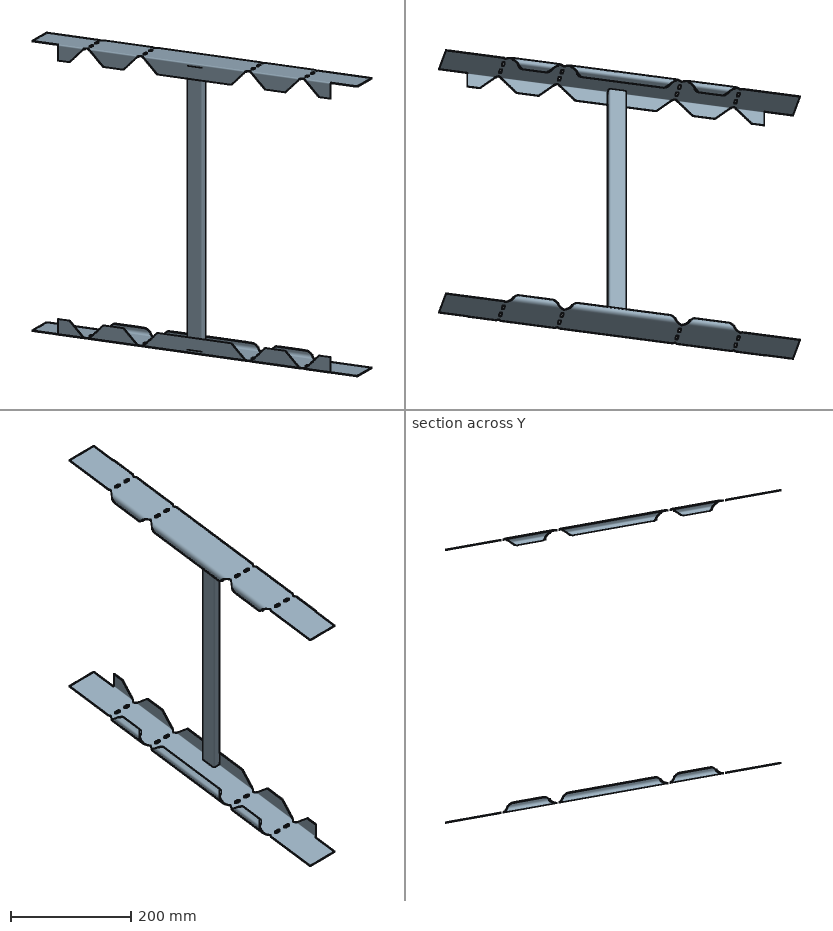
import cadquery as cq
import math

rail_length = 604.0
depth = 64.0
height = 504.5
front_y = -depth / 2
back_y = depth / 2
rail_top = height / 2

sheet = 1.5
flange_length = 507.0
flange_depth = 28.0
flange_bend = 2.5
lip_bend = 7.0
curl_bend = 5.0
lip_wall = 2.5
curl_angle = 70.0
curl_straight = 8.5

flat_front = front_y + flange_bend
flat_back = back_y - lip_bend
flat_middle = (flat_front + flat_back) / 2

notch_pitch = 100.0
notch_places = [-2 * notch_pitch, -notch_pitch, notch_pitch, 2 * notch_pitch]
notch_inset = 2.1
slot_length = 10.0
slot_width = 4.0
slot_spacing = 20.5
lip_length = 4 * notch_pitch

post_width = 30.0
post_depth = 15.0
post_corner = 3.5
post_end_gap = 5.75
post_length = height - 2 * post_end_gap
post_middle_y = front_y + sheet + post_depth / 2

cut_margin = 6.0


def polar(centre, radius, degrees):
    """Point on a circle in the YZ plane, angle measured from +Y towards +Z."""
    angle = math.radians(degrees)
    return (centre[0] + radius * math.cos(angle), centre[1] + radius * math.sin(angle))


def extrude_along_x(profile, length):
    """Extrude a closed YZ profile by length, centred on X = 0."""
    return profile.close().extrude(length / 2, both=True)


def make_flat():
    width = flat_back - flat_front
    return cq.Workplane("XY").box(rail_length, width, sheet).translate((0, flat_middle, rail_top - sheet / 2))


def make_flange():
    centre = (flat_front, rail_top - flange_bend)
    inner = flange_bend - sheet
    tip_z = rail_top - flange_depth
    profile = (
        cq.Workplane("YZ")
        .moveTo(front_y, tip_z)
        .lineTo(*polar(centre, flange_bend, 180))
        .threePointArc(polar(centre, flange_bend, 135), polar(centre, flange_bend, 90))
        .lineTo(*polar(centre, inner, 90))
        .threePointArc(polar(centre, inner, 135), polar(centre, inner, 180))
        .lineTo(front_y + sheet, tip_z)
    )
    return extrude_along_x(profile, flange_length)


lip_centre = (flat_back, rail_top - lip_bend)
curl_centre = (back_y - curl_bend, lip_centre[1] - lip_wall)


def curl_tip(radius):
    """End of the straight stretch that leaves the curl at this radius."""
    return polar(polar(curl_centre, radius, -curl_angle), curl_straight, -curl_angle - 90)


def make_lip():
    lip_inner = lip_bend - sheet
    curl_inner = curl_bend - sheet
    profile = (
        cq.Workplane("YZ")
        .moveTo(*polar(lip_centre, lip_bend, 90))
        .threePointArc(polar(lip_centre, lip_bend, 45), polar(lip_centre, lip_bend, 0))
        .lineTo(*polar(curl_centre, curl_bend, 0))
        .threePointArc(polar(curl_centre, curl_bend, -curl_angle / 2), polar(curl_centre, curl_bend, -curl_angle))
        .lineTo(*curl_tip(curl_bend))
        .lineTo(*curl_tip(curl_inner))
        .lineTo(*polar(curl_centre, curl_inner, -curl_angle))
        .threePointArc(polar(curl_centre, curl_inner, -curl_angle / 2), polar(curl_centre, curl_inner, 0))
        .lineTo(*polar(lip_centre, lip_inner, 0))
        .threePointArc(polar(lip_centre, lip_inner, 45), polar(lip_centre, lip_inner, 90))
    )
    return extrude_along_x(profile, lip_length)


def bend_notch(tip_y, edge_y, half_width, bend):
    """V seen from above, cut through the sheet from the flat to the end of a bend."""
    outline = [(-half_width, edge_y), (0, tip_y), (half_width, edge_y)]
    return (
        cq.Workplane("XY", origin=(0, 0, rail_top - bend))
        .polyline(outline)
        .close()
        .extrude(bend + cut_margin)
    )


def hanging_notch(half_widths, start_y, end_y):
    """Widening gap seen from the front, from (half width, z) pairs listed downwards."""
    left = [(-half, z) for half, z in half_widths]
    right = [(half, z) for half, z in reversed(half_widths)]
    return (
        cq.Workplane("XZ", origin=(0, end_y, 0))
        .polyline(left + right)
        .close()
        .extrude(end_y - start_y)
    )


def make_flange_notch():
    """45 degree notch in the unbent sheet, so its width follows the length around the bend."""
    bend_half = notch_inset + flange_bend * math.pi / 2
    bend_z = rail_top - flange_bend
    tip_half = bend_half + flange_depth - flange_bend
    upper = bend_notch(flat_front + notch_inset, front_y, bend_half, flange_bend)
    lower = hanging_notch(
        [(bend_half, bend_z), (tip_half, rail_top - flange_depth)],
        front_y - cut_margin,
        flat_front,
    )
    return upper.union(lower)


def make_lip_notch():
    """45 degree notch in the unbent sheet, followed around the lip and its curl."""
    bend_half = notch_inset + lip_bend * math.pi / 2
    wall_half = bend_half + lip_wall
    curl_half = wall_half + curl_bend * math.radians(curl_angle)
    tip_half = curl_half + curl_straight
    upper = bend_notch(flat_back - notch_inset, back_y, bend_half, lip_bend)
    lower = hanging_notch(
        [
            (bend_half, lip_centre[1]),
            (wall_half, curl_centre[1]),
            (curl_half, polar(curl_centre, curl_bend, -curl_angle)[1]),
            (tip_half, curl_tip(curl_bend)[1]),
        ],
        flat_middle,
        back_y + cut_margin,
    )
    return upper.union(lower)


def make_slots():
    """Pairs of round-ended slots, one pair at each bending place."""
    rows = [flat_middle - slot_spacing / 2, flat_middle + slot_spacing / 2]
    return (
        cq.Workplane("XY", origin=(0, 0, rail_top - sheet - cut_margin))
        .pushPoints([(x, y) for x in notch_places for y in rows])
        .slot2D(slot_length, slot_width, 90)
        .extrude(sheet + 2 * cut_margin)
    )


def make_rail():
    """Upper rail, with its flange and lip hanging down."""
    rail = make_flat().union(make_flange()).union(make_lip()).cut(make_slots())
    notch_shapes = [make_flange_notch(), make_lip_notch()]
    for x in notch_places:
        for notch in notch_shapes:
            rail = rail.cut(notch.translate((x, 0, 0)))
    return rail


def make_post():
    return (
        cq.Workplane("XY")
        .box(post_width, post_depth, post_length)
        .edges("|Z")
        .fillet(post_corner)
        .translate((0, post_middle_y, 0))
    )


upper_rail = make_rail()
lower_rail = upper_rail.mirror("XY")
rails = [upper_rail, lower_rail]
post = make_post()

result = cq.Compound.makeCompound([*[rail.solids().val() for rail in rails], post.val()])